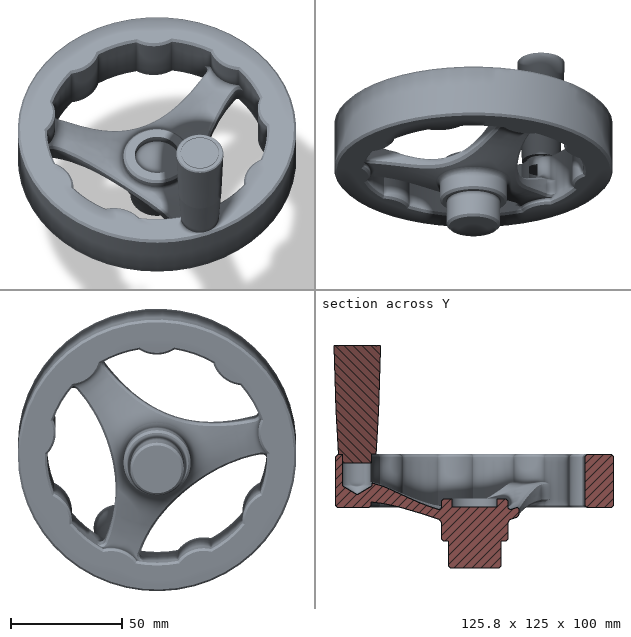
import cadquery as cq
import math

rim_radius = 62.5
rim_inner_radius = 49.4
rim_height = 24.0
edge_chamfer = 1.0
lobe_count = 9
lobe_radius = 14.5
lobe_reach = 46.4
lobe_center = lobe_reach + lobe_radius

hub_radius = 30.0 / 2
hub_top = 4.0
hub_bottom = -15.0
recess_radius = 20.0 / 2
recess_depth = 3.5
boss_radius = 24.0 / 2
boss_bottom = -27.0
hub_top_fillet = 1.0
hub_bottom_fillet = 2.0

web_outer_radius = 55.3
web_top_outer = 11.6
web_top_points = [(hub_radius, -0.9), (27.3, 3.5), (37.1, 8.0), (46.2, 11.3)]
web_bottom_outer = 2.8
web_bottom_points = [(hub_radius, -5.5), (24.5, -2.5), (32.5, -0.1), (41.5, 1.9)]

spoke_count = 3
opening_radius = 67.9
opening_reach = 20.0
opening_corner_radius = 2.5
spoke_chamfer = 1.0
shortest_spoke_edge = 25.2

handle_x = 52.7
handle_base_radius = 8.5
handle_seam_radius = 9.7
handle_top_radius = 10.6
handle_seam_z = rim_height + 20.0
handle_top = rim_height + 49.0
handle_chamfer = 0.5
stub_radius = 6.5
stub_length = 4.0
cap_radius = 8.3
cap_groove = 0.4
socket_depth = 14.1
drill_tip_depth = stub_radius / math.tan(math.radians(59))


def make_rim():
    """Ring with lobes on its inner wall, chamfered along every top and bottom edge."""
    ring = cq.Workplane().circle(rim_radius).circle(rim_inner_radius).extrude(rim_height)
    rim = ring.faces("|Z").edges().chamfer(edge_chamfer)
    inside = cq.Workplane().circle(web_outer_radius).extrude(rim_height)
    lobe = cq.Workplane().center(lobe_center, 0).circle(lobe_radius).extrude(rim_height)
    lobe = lobe.faces("|Z").edges().chamfer(edge_chamfer).intersect(inside)
    for i in range(lobe_count):
        rim = rim.union(lobe.rotate((0, 0, 0), (0, 0, 1), i * 360 / lobe_count))
    return rim


def make_recess():
    return cq.Workplane(origin=(0, 0, hub_top - recess_depth)).circle(recess_radius).extrude(recess_depth)


def make_hub_and_web():
    """Stepped hub with its dished web, which is level where it runs into the rim.

    The profile's start plane is turned into an opening, away from the spokes.
    """
    return (
        cq.Workplane("XZ")
        .moveTo(0, boss_bottom)
        .lineTo(boss_radius - edge_chamfer, boss_bottom)
        .lineTo(boss_radius, boss_bottom + edge_chamfer)
        .lineTo(boss_radius, hub_bottom)
        .lineTo(hub_radius - edge_chamfer, hub_bottom)
        .lineTo(hub_radius, hub_bottom + edge_chamfer)
        .lineTo(*web_bottom_points[0])
        .spline(web_bottom_points[1:] + [(rim_inner_radius, web_bottom_outer)], includeCurrent=True)
        .lineTo(web_outer_radius, web_bottom_outer)
        .lineTo(web_outer_radius, web_top_outer)
        .lineTo(rim_inner_radius, web_top_outer)
        .spline(web_top_points[::-1], includeCurrent=True)
        .lineTo(hub_radius, hub_top - edge_chamfer)
        .lineTo(hub_radius - edge_chamfer, hub_top)
        .lineTo(0, hub_top)
        .close()
        .revolve(360, (0, 0, 0), (0, 1, 0))
        .rotate((0, 0, 0), (0, 0, 1), 180 / spoke_count)
    )


def make_opening(angle):
    """Lens between the rim's inner wall and a large arc, with rounded corners."""
    depth = rim_height - hub_bottom
    disc = cq.Workplane(origin=(0, 0, hub_bottom)).circle(rim_inner_radius).extrude(depth)
    return (
        cq.Workplane(origin=(0, 0, hub_bottom))
        .center(opening_reach + opening_radius, 0)
        .circle(opening_radius)
        .extrude(depth)
        .intersect(disc)
        .edges("|Z").fillet(opening_corner_radius)
        .rotate((0, 0, 0), (0, 0, 1), angle)
    )


def make_socket():
    profile = (
        cq.Workplane("XZ", origin=(handle_x, 0, rim_height))
        .polyline([
            (0, 0), (stub_radius, 0), (stub_radius, -socket_depth), (0, -socket_depth - drill_tip_depth),
        ])
        .close()
    )
    return profile.revolve(360, (0, 0, 0), (0, 1, 0))


def fillet_hub_joint(body, height, radius):
    """Round the circle at the given height where the web meets the side of the hub."""
    joint = [e for e in body.edges("%CIRCLE").vals() if abs(e.Center().z - height) < 0.01]
    return body.newObject(joint).fillet(radius)


def is_spoke_edge(edge):
    """True for the long edges beside the openings; chamfers run on from them around each opening."""
    middle = edge.Center()
    off_axis = math.hypot(middle.x, middle.y) > hub_radius
    return off_axis and edge.geomType() != "CIRCLE" and edge.Length() > shortest_spoke_edge


def make_center():
    """Hub and web filleted together, opened into spokes whose edges are chamfered."""
    center = make_hub_and_web()
    center = fillet_hub_joint(center, web_top_points[0][1], hub_top_fillet)
    center = fillet_hub_joint(center, web_bottom_points[0][1], hub_bottom_fillet)
    for i in range(spoke_count):
        center = center.cut(make_opening((i + 0.5) * 360 / spoke_count))
    spoke_edges = [e for e in center.edges().vals() if is_spoke_edge(e)]
    return center.newObject(spoke_edges).chamfer(spoke_chamfer)


def make_wheel():
    return make_center().union(make_rim()).cut(make_recess()).cut(make_socket()).clean()


def make_handle():
    """Grip that widens upward, with a stub below and a groove around its end cap."""
    grip = (
        cq.Workplane("XZ", origin=(handle_x, 0, 0))
        .moveTo(0, rim_height - stub_length)
        .lineTo(stub_radius, rim_height - stub_length)
        .lineTo(stub_radius, rim_height)
        .lineTo(handle_base_radius, rim_height)
        .lineTo(handle_seam_radius, handle_seam_z)
        .lineTo(handle_top_radius, handle_top - handle_chamfer)
        .lineTo(handle_top_radius - handle_chamfer, handle_top)
        .lineTo(0, handle_top)
        .close()
        .revolve(360, (0, 0, 0), (0, 1, 0))
    )
    groove = (
        cq.Workplane(origin=(handle_x, 0, handle_top - cap_groove))
        .circle(cap_radius + cap_groove)
        .circle(cap_radius)
        .extrude(cap_groove)
    )
    return grip.cut(groove)


wheel = make_wheel()
handle = make_handle()
result = cq.Compound.makeCompound([wheel.val(), handle.val()])